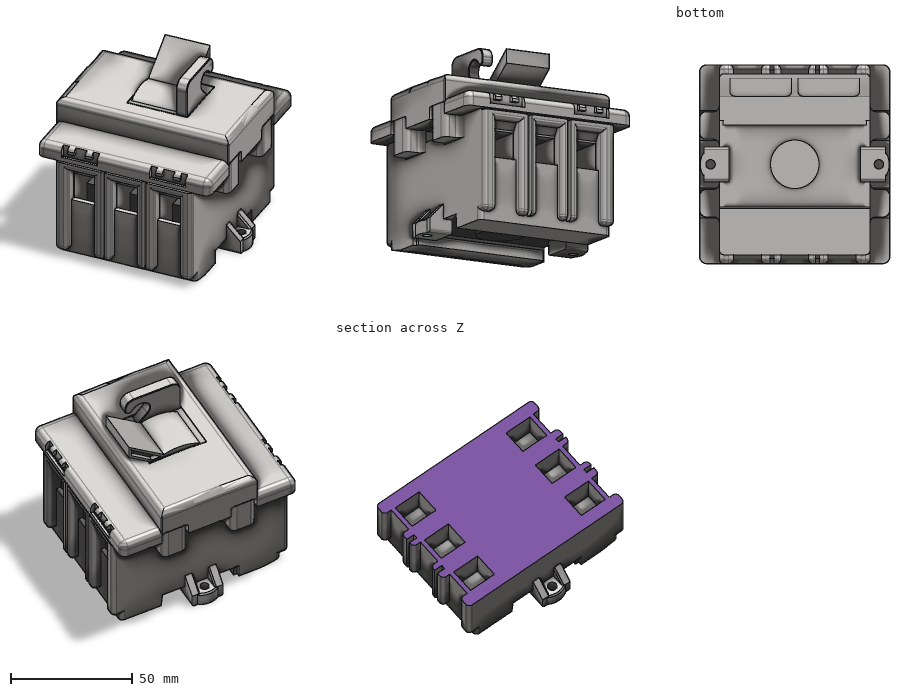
import cadquery as cq
import math

COS_45 = math.cos(math.radians(45))
TOUCH = 0.01

LENGTH = 82.0
WIDTH = 78.5
HEIGHT = 79.5

BODY_WIDTH = 62.15
BODY_TOP = 46.7
CORE_LENGTH = 74.6
BODY_FILLET = 2.0
NECK_LENGTH = 77.7
NECK_HEIGHT = 0.7

FLANGE_TOP = 53.6
COVER_FILLET = 3.0
BLOCK_LENGTH = 44.9
DECK_EDGE = 63.9
DECK_CROWN = 64.4
BLOCK_CHAMFER = 0.5

PITCH = 19.5
GROOVE_CENTRE = 9.35
GROOVE_WIDTH = 1.7
FRAME_BOTTOM = 3.7
FRAME_TOP = BODY_TOP - NECK_HEIGHT
FRAME_ROOT = 35.3
CHANNEL_WIDTH = 11.5
CHANNEL_TOP = 42.6
RIB_FILLET = 1.9
RIB_CORNER = 2.0
WINDOW_WIDTH = 11.0
WINDOW_BOTTOM = 27.0
WINDOW_TOP = 38.7
SILL_THICKNESS = 2.1
HOOD_BOTTOM = 39.6
POCKET_DEPTH = 12.3
POCKET_FLOOR = 14.8

RAIL_HALF = 17.95
RAIL_DEPTH = 6.1
RAIL_TAPER = 0.3
RAMP_START = 28.05
RAMP_HEIGHT = 1.8
RAMP_MID_HEIGHT = 0.7
DISC_RADIUS = 10.0
DISC_BOTTOM = 4.0
RAIL_CLIP_WIDTH = 59.0
RAIL_CLIP_LENGTH = 1.7
RAIL_CLIP_HEIGHT = 4.7
RAIL_CLIP_FILLET = 1.15
RAMP_RECESS_HEIGHT = 1.3
RAMP_RECESS_INNER = 1.3
RAMP_RECESS_OUTER = 26.7
RAMP_RECESS_RADIUS = 2.0

POST_Y = 16.0
POST_OUT = 39.0
POST_HALF_FLAT = 3.2
POST_HALF_WIDTH = 5.65
POST_HALF_ROOT = 8.2
POST_BOTTOM = 37.3
POST_TOP = 52.0
POST_NOTCH_WIDTH = 12.3
NOTCH_FILLET = 1.15
POST_OVERLAP = 0.8
CROSS_SLOT_WIDTH = 14.9
CROSS_SLOT_BOTTOM = 41.3

FOOT_HALF_WIDTH = 7.2
FOOT_CORNER_X = 37.5
FOOT_TIP_X = 38.95
FOOT_TIP_HALF = 4.8
FOOT_INNER_X = 27.1
FOOT_FILLET = 1.15
FOOT_TIP_CHAMFER = 0.65
FOOT_HOLE = 3.85
FOOT_HOLE_X = 34.7
GUSSET_THICKNESS = 3.8
GUSSET_CHAMFER = 0.65
GUSSET_TOP = 12.5

CLIP_SEAT_CENTRE = 20.0
CLIP_SEAT_WIDTH = 16.4
CLIP_SEAT_BOTTOM = 48.7
CLIP_SEAT_DEPTH = 2.1
CLIP_SEAT_LEDGE_DEPTH = 1.3
CLIP_SEAT_GUTTER = 0.8
TAB_INSET = 0.3
TAB_WIDTH = 3.0
TAB_SPACING = 8.0
TAB_BOTTOM = 50.7

RECESS_LEFT, RECESS_RIGHT = -11.2, 16.2
RECESS_LENGTH = 26.6
RECESS_FLOOR = 63.8
LEVER_LEFT, LEVER_RIGHT = -10.5, 9.9
LEVER_BURY = 61.5
HANDLE_TOP = (22.5, 77.4)
HANDLE_LOW = (22.5, 71.3)
HANDLE_ROOT = (6.15, 65.2)
HANDLE_BURY_Y = 9.3
HUB_CREST = (-0.5, 66.3)
HUB_FRONT = -10.7
LEVER_GROOVE_OUTLINE = [(21.2, 75.2), (7.6, 64.8), (11.8, 64.7), (21.2, 71.8)]
LEVER_GROOVE_DEPTH = 2.05
HOOK_LEFT, HOOK_RIGHT = 10.9, 15.8
HOOK_HALF = 12.9
HOOK_RADIUS = 4.1
HOOK_EYE = (5.5, 71.2)
HOOK_EYE_RADIUS = 4.1
HOOK_TIP = 72.2
HOOK_TIP_RADIUS = 1.8
HOOK_EDGE = 0.3


def box(x, y, z):
    """Box spanning the given (low, high) ranges."""
    size = (x[1] - x[0], y[1] - y[0], z[1] - z[0])
    return cq.Workplane("XY").box(*size, centered=False).translate((x[0], y[0], z[0]))


def centred_box(width, length, z):
    return box((-width / 2, width / 2), (-length / 2, length / 2), z)


def side_plate(sketch, x_low, x_high):
    """Extrude a closed YZ outline from x_low to x_high."""
    return sketch.extrude(x_high - x_low).translate((x_low, 0, 0))


def both_x(shape):
    return shape.union(shape.mirror("YZ"))


def both_y(shape):
    return shape.union(shape.mirror("XZ"))


def terminal_frame(x_low, x_high, pole_x):
    """Raised front frame around one terminal channel, open at the bottom."""
    front = -LENGTH / 2
    frame = box((x_low, x_high), (front, -FRAME_ROOT), (FRAME_BOTTOM, FRAME_TOP))
    half = CHANNEL_WIDTH / 2
    frame = frame.cut(box((pole_x - half, pole_x + half), (front, -FRAME_ROOT), (0, CHANNEL_TOP)))
    side = BODY_WIDTH / 2

    def on_groove(edge):
        x = edge.Center().x
        on_end = abs(x - x_low) < TOUCH or abs(x - x_high) < TOUCH
        return on_end and abs(abs(x) - side) > TOUCH

    corners = [e for e in frame.edges("|Y and <Z").vals() if not on_groove(e)]
    frame = frame.newObject(corners).fillet(RIB_CORNER)

    def is_rounded(edge):
        c = edge.Center()
        on_front = abs(c.y - front) < TOUCH
        on_top = abs(c.z - FRAME_TOP) < TOUCH
        return on_front and not on_top and not on_groove(edge)

    return frame.newObject([e for e in frame.edges().vals() if is_rounded(e)]).fillet(RIB_FILLET)


def terminal_opening(pole_x):
    """Window over the sill, the sloping hood above it and the pocket behind."""
    face = -CORE_LENGTH / 2
    sill_back = face + SILL_THICKNESS
    half = WINDOW_WIDTH / 2
    x_range = (pole_x - half, pole_x + half)
    hood = (
        cq.Workplane("YZ")
        .moveTo(face, WINDOW_BOTTOM)
        .lineTo(face, CHANNEL_TOP)
        .lineTo(sill_back, HOOD_BOTTOM)
        .lineTo(sill_back, WINDOW_BOTTOM)
        .close()
    )
    opening = side_plate(hood, pole_x - CHANNEL_WIDTH / 2, pole_x + CHANNEL_WIDTH / 2)
    pocket = box(x_range, (sill_back, sill_back + POCKET_DEPTH), (POCKET_FLOOR, WINDOW_TOP))
    passage = box(x_range, (face, 0), (WINDOW_BOTTOM, WINDOW_TOP))
    return opening.union(pocket).union(passage)


def make_body():
    side = BODY_WIDTH / 2
    body = centred_box(BODY_WIDTH, CORE_LENGTH, (0, FRAME_TOP)).edges("|Z").fillet(BODY_FILLET)
    body = body.union(centred_box(BODY_WIDTH, NECK_LENGTH, (FRAME_TOP, BODY_TOP)))
    inner = GROOVE_CENTRE - GROOVE_WIDTH / 2
    outer = GROOVE_CENTRE + GROOVE_WIDTH / 2
    for x_low, x_high, pole_x in [(-side, -outer, -PITCH), (-inner, inner, 0), (outer, side, PITCH)]:
        body = body.union(both_y(terminal_frame(x_low, x_high, pole_x)))
    for pole_x in (-PITCH, 0, PITCH):
        body = body.cut(both_y(terminal_opening(pole_x)))
    half = CROSS_SLOT_WIDTH / 2
    return body.cut(box((-side, side), (-half, half), (CROSS_SLOT_BOTTOM, FRAME_TOP)))


def shape_underside(body):
    side = BODY_WIDTH / 2
    front = -CORE_LENGTH / 2
    slot = (
        cq.Workplane("YZ")
        .moveTo(-RAIL_HALF, 0)
        .lineTo(-RAIL_HALF, RAIL_DEPTH)
        .lineTo(RAIL_HALF - RAIL_TAPER, RAIL_DEPTH)
        .lineTo(RAIL_HALF + RAIL_TAPER, 0)
        .close()
    )
    ramp_middle = ((front - RAMP_START) / 2, RAMP_MID_HEIGHT)
    ramp = (
        cq.Workplane("YZ")
        .moveTo(-RAMP_START, 0)
        .threePointArc(ramp_middle, (front, RAMP_HEIGHT))
        .lineTo(front, 0)
        .close()
    )
    body = body.cut(side_plate(slot, -side, side)).cut(side_plate(ramp, -side, side))

    recess_x = (RAMP_RECESS_INNER, RAMP_RECESS_OUTER)
    recess = box(recess_x, (front, -RAMP_START), (0, RAMP_RECESS_HEIGHT))
    recess = recess.edges("|Z and >Y").fillet(RAMP_RECESS_RADIUS)
    body = body.cut(both_x(recess))

    disc = cq.Workplane("XY").circle(DISC_RADIUS).extrude(RAIL_DEPTH - DISC_BOTTOM)
    clip_x = (-RAIL_CLIP_WIDTH / 2, RAIL_CLIP_WIDTH / 2)
    clip_y = (-RAIL_HALF, RAIL_CLIP_LENGTH - RAIL_HALF)
    clip = box(clip_x, clip_y, (0, RAIL_CLIP_HEIGHT))
    clip = clip.edges("|X and >Y and >Z").fillet(RAIL_CLIP_FILLET)
    return body.union(disc.translate((0, 0, DISC_BOTTOM))).union(clip)


def make_cover():
    flange = centred_box(WIDTH, LENGTH, (BODY_TOP, FLANGE_TOP))
    flange = flange.edges("|Z").fillet(COVER_FILLET).faces(">Z").edges().fillet(COVER_FILLET)

    edge = BLOCK_LENGTH / 2
    block = (
        cq.Workplane("YZ")
        .moveTo(-edge, BODY_TOP)
        .lineTo(-edge, DECK_EDGE)
        .threePointArc((0, DECK_CROWN), (edge, DECK_EDGE))
        .lineTo(edge, BODY_TOP)
        .close()
    )
    block = side_plate(block, -WIDTH / 2, WIDTH / 2).faces(">Z").edges().fillet(COVER_FILLET)
    upright = centred_box(WIDTH, BLOCK_LENGTH, (BODY_TOP, DECK_CROWN)).edges("|Z").chamfer(BLOCK_CHAMFER)
    block = block.intersect(upright)
    return flange.union(block)


def label_clip_seats():
    """Cut-outs on the flange edge that leave two small tabs in each seat."""
    front = -LENGTH / 2
    y_range = (front, front + CLIP_SEAT_DEPTH)
    half = CLIP_SEAT_WIDTH / 2
    seat = box((-half, half), y_range, (CLIP_SEAT_BOTTOM, FLANGE_TOP))
    for tab_x in (-TAB_SPACING / 2, TAB_SPACING / 2):
        tab_range = (tab_x - TAB_WIDTH / 2, tab_x + TAB_WIDTH / 2)
        seat = seat.cut(box(tab_range, y_range, (TAB_BOTTOM, FLANGE_TOP)))
    seat = seat.union(box((-half, half), (front, front + TAB_INSET), (CLIP_SEAT_BOTTOM, FLANGE_TOP)))
    gutter_z = (CLIP_SEAT_BOTTOM - CLIP_SEAT_GUTTER, CLIP_SEAT_BOTTOM)
    seat = seat.union(box((-half, half), (front + CLIP_SEAT_LEDGE_DEPTH, y_range[1]), gutter_z))
    return both_y(both_x(seat.translate((CLIP_SEAT_CENTRE, 0, 0))))


def post_notch():
    notch = box(
        (BODY_WIDTH / 2, WIDTH / 2),
        (POST_Y - POST_NOTCH_WIDTH / 2, POST_Y + POST_NOTCH_WIDTH / 2),
        (BODY_TOP, POST_TOP),
    )
    return notch.edges("|X and >Z").fillet(NOTCH_FILLET)


def side_post():
    """Post with rounded outer corners that flares into the housing wall."""
    wall = BODY_WIDTH / 2
    convex = POST_HALF_WIDTH - POST_HALF_FLAT
    concave = POST_HALF_ROOT - POST_HALF_WIDTH
    outline = (
        cq.Workplane("XY")
        .moveTo(wall, -POST_HALF_ROOT)
        .threePointArc(
            (wall + concave * (1 - COS_45), -POST_HALF_ROOT + concave * COS_45),
            (wall + concave, -POST_HALF_WIDTH),
        )
        .lineTo(POST_OUT - convex, -POST_HALF_WIDTH)
        .threePointArc(
            (POST_OUT - convex * (1 - COS_45), -POST_HALF_FLAT - convex * COS_45),
            (POST_OUT, -POST_HALF_FLAT),
        )
        .lineTo(POST_OUT, POST_HALF_FLAT)
        .threePointArc(
            (POST_OUT - convex * (1 - COS_45), POST_HALF_FLAT + convex * COS_45),
            (POST_OUT - convex, POST_HALF_WIDTH),
        )
        .lineTo(wall + concave, POST_HALF_WIDTH)
        .threePointArc(
            (wall + concave * (1 - COS_45), POST_HALF_ROOT - concave * COS_45),
            (wall, POST_HALF_ROOT),
        )
        .lineTo(wall - POST_OVERLAP, POST_HALF_ROOT)
        .lineTo(wall - POST_OVERLAP, -POST_HALF_ROOT)
        .close()
    )
    return outline.extrude(POST_TOP - POST_BOTTOM).translate((0, POST_Y, POST_BOTTOM))


def mounting_foot():
    wall = BODY_WIDTH / 2
    pad = (
        cq.Workplane("XY")
        .moveTo(FOOT_INNER_X, -FOOT_HALF_WIDTH)
        .lineTo(FOOT_CORNER_X, -FOOT_HALF_WIDTH)
        .lineTo(FOOT_CORNER_X, -FOOT_TIP_HALF)
        .threePointArc((FOOT_TIP_X, 0), (FOOT_CORNER_X, FOOT_TIP_HALF))
        .lineTo(FOOT_CORNER_X, FOOT_HALF_WIDTH)
        .lineTo(FOOT_INNER_X, FOOT_HALF_WIDTH)
        .close()
        .extrude(RAIL_DEPTH)
    )
    pad = pad.edges("|X and <Z").fillet(FOOT_FILLET)
    pad = pad.faces(">Z").edges("%CIRCLE").chamfer(FOOT_TIP_CHAMFER)
    hole = cq.Workplane("XY").center(FOOT_HOLE_X, 0).circle(FOOT_HOLE / 2).extrude(RAIL_DEPTH)
    gusset = (
        cq.Workplane("XZ", origin=(0, FOOT_HALF_WIDTH, 0))
        .polyline([(wall, RAIL_DEPTH), (FOOT_CORNER_X, RAIL_DEPTH), (wall, GUSSET_TOP)])
        .close()
        .extrude(GUSSET_THICKNESS)
    )
    inner_slope = cq.selectors.NearestToPointSelector(
        ((wall + FOOT_CORNER_X) / 2, FOOT_HALF_WIDTH - GUSSET_THICKNESS, (RAIL_DEPTH + GUSSET_TOP) / 2)
    )
    gusset = gusset.edges(inner_slope).chamfer(GUSSET_CHAMFER)
    return pad.cut(hole).union(both_y(gusset))


def lever_recess():
    half = RECESS_LENGTH / 2
    return box((RECESS_LEFT, RECESS_RIGHT), (-half, half), (RECESS_FLOOR, DECK_CROWN))


def toggle_lever():
    handle = (
        cq.Workplane("YZ")
        .moveTo(*HANDLE_TOP)
        .lineTo(*HANDLE_ROOT)
        .lineTo(HANDLE_ROOT[0], LEVER_BURY)
        .lineTo(HANDLE_BURY_Y, LEVER_BURY)
        .lineTo(*HANDLE_LOW)
        .close()
    )
    handle = side_plate(handle, LEVER_LEFT, LEVER_RIGHT)
    groove = cq.Workplane("YZ").polyline(LEVER_GROOVE_OUTLINE).close()
    groove = side_plate(groove, LEVER_LEFT, LEVER_LEFT + LEVER_GROOVE_DEPTH)
    hub = (
        cq.Workplane("YZ")
        .moveTo(HANDLE_ROOT[0], LEVER_BURY)
        .lineTo(*HANDLE_ROOT)
        .threePointArc(HUB_CREST, (HUB_FRONT, RECESS_FLOOR))
        .lineTo(HUB_FRONT, LEVER_BURY)
        .close()
    )
    return handle.cut(groove).union(side_plate(hub, LEVER_LEFT, LEVER_RIGHT))


def padlock_hook():
    eye_y, eye_z = HOOK_EYE
    blank = box((HOOK_LEFT, HOOK_RIGHT), (-HOOK_HALF, HOOK_HALF), (LEVER_BURY, HEIGHT))
    blank = blank.edges("|X and >Z").fillet(HOOK_RADIUS)
    reach = HOOK_EYE_RADIUS * COS_45
    flank_y = eye_y + reach + (eye_z + reach - HOOK_TIP)
    foot_y = eye_y - reach + (eye_z - reach - RECESS_FLOOR)
    opening = (
        cq.Workplane("YZ")
        .moveTo(HOOK_HALF, HOOK_TIP)
        .lineTo(flank_y, HOOK_TIP)
        .lineTo(eye_y + reach, eye_z + reach)
        .threePointArc((eye_y - reach, eye_z + reach), (eye_y - reach, eye_z - reach))
        .lineTo(foot_y, RECESS_FLOOR)
        .lineTo(HOOK_HALF, RECESS_FLOOR)
        .close()
    )
    hook = blank.cut(side_plate(opening, HOOK_LEFT, HOOK_RIGHT))
    tip = cq.selectors.NearestToPointSelector(((HOOK_LEFT + HOOK_RIGHT) / 2, HOOK_HALF, HOOK_TIP))
    hook = hook.edges(tip).fillet(HOOK_TIP_RADIUS)
    return hook.faces("<X or >X").edges().chamfer(HOOK_EDGE)


result = shape_underside(make_body()).union(make_cover()).cut(label_clip_seats())
result = result.cut(both_x(both_y(post_notch()))).union(both_x(both_y(side_post())))
result = result.union(both_x(mounting_foot()))
result = result.cut(lever_recess()).union(toggle_lever()).union(padlock_hook())